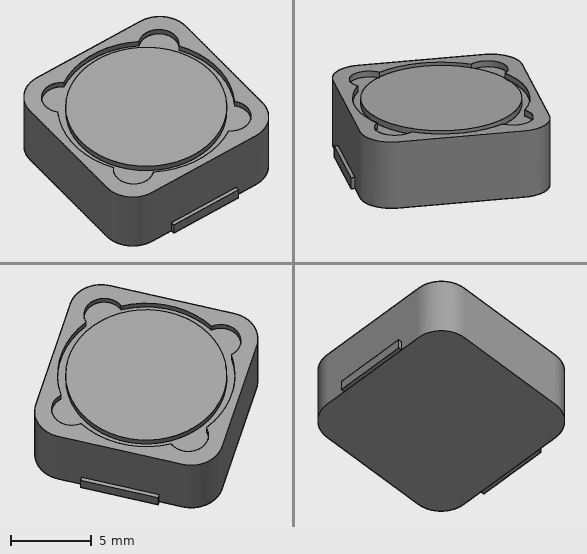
import cadquery as cq

overall_length = 12.5
housing_side = 12.0
housing_height = 4.5
corner_radius = 2.0

core_diameter = 10.0
ring_gap = 0.5
recess_depth = 0.4
recess_diameter = core_diameter + 2 * ring_gap
lobe_diameter = 2.5
lobe_offset = 3.75

terminal_thickness = (overall_length - housing_side) / 2
terminal_width = 5.0
terminal_height = 0.75

recess_floor = housing_height - recess_depth


def make_housing():
    """Rounded square block with a round, four-lobed recess in its top."""
    block = (
        cq.Workplane("XY")
        .rect(housing_side, housing_side)
        .extrude(housing_height)
        .edges("|Z")
        .fillet(corner_radius)
    )
    floor_plane = cq.Workplane("XY").workplane(offset=recess_floor)
    round_recess = floor_plane.circle(recess_diameter / 2).extrude(recess_depth)
    lobes = (
        floor_plane.rect(2 * lobe_offset, 2 * lobe_offset, forConstruction=True)
        .vertices()
        .circle(lobe_diameter / 2)
        .extrude(recess_depth)
    )
    return block.cut(round_recess).cut(lobes)


def make_core():
    """Disc standing on the recess floor, flush with the top of the housing."""
    return (
        cq.Workplane("XY")
        .workplane(offset=recess_floor)
        .circle(core_diameter / 2)
        .extrude(recess_depth)
    )


def make_terminal(side):
    """Flat plate against the bottom of one X side; side is -1 or +1."""
    center_x = side * (housing_side + terminal_thickness) / 2
    return (
        cq.Workplane("XY")
        .center(center_x, 0)
        .rect(terminal_thickness, terminal_width)
        .extrude(terminal_height)
    )


housing = make_housing()
core = make_core()
terminals = [make_terminal(side) for side in (-1, 1)]

result = cq.Compound.makeCompound(
    [housing.val(), core.val(), *[terminal.val() for terminal in terminals]]
)